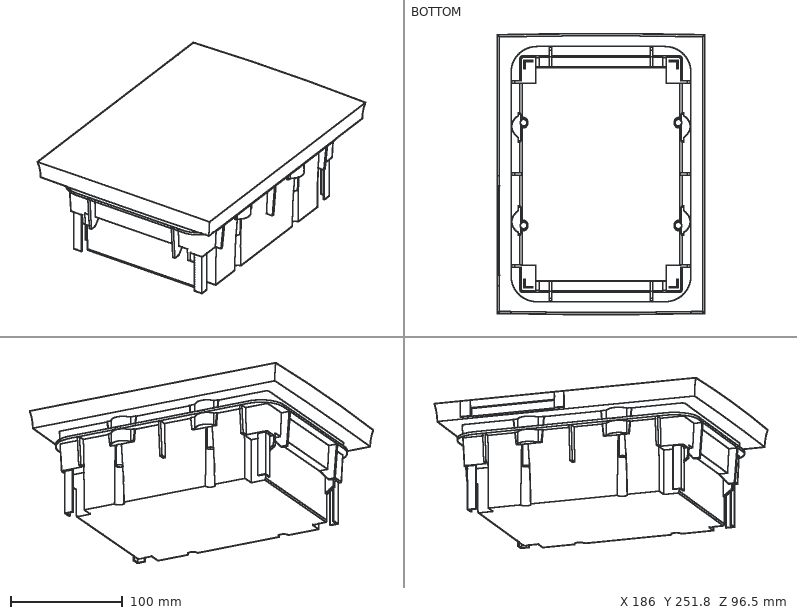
import cadquery as cq
import math

COVER_X = 186.0
COVER_Y = 251.8
COVER_BOTTOM_Z = 79.0
COVER_TOP_Z = 96.5
CROWN = 1.0
END_BOW = 1.0
EDGE_UNDERCUT = 2.0
EDGE_MIDDLE_Z = 87.5
EDGE_MIDDLE_INSET = 1.5

POST_OUTER_Y = (1.3, 100.2)
POST_BOTTOM_Z = 80.8
POST_THICKNESS = 5.0
SLOT_Y = (10.3, 90.6)
SLOT_TOP_Z = 88.6
SLOT_DEPTH = 4.0

BASE_HALF_X = 69.2
BASE_HALF_Y = 102.5
DRAFT = 0.05
CORNER_RADIUS = 1.3
SIDE_PANEL_TOP_Z = 21.5
SIDE_PANEL_HALF_X = BASE_HALF_X + DRAFT * SIDE_PANEL_TOP_Z

NOTCH_TOP_Z = 41.3
NOTCH_X = 58.5
NOTCH_Y = 81.5
LEG_X = (61.0, BASE_HALF_X)
LEG_Y = (94.2, 102.0)
LEG_WALL = 1.3
LEG_BOTTOM_Z = 1.0

END_RECESS_Y = 96.2
END_RECESS_HALF_X = 55.5
END_RECESS_TOP_Z = 44.3
BRACKET_OUTER_Z = 33.0
BRACKET_INNER_Z = 26.7
END_BEVEL_HEIGHT = 1.8
END_BEVEL_DEPTH = 0.8

FLANGE_HALF_X = 80.5
FLANGE_HALF_Y = 114.3
FLANGE_Z = (67.0, 69.2)
FLANGE_RADIUS = 23.2

FIN_THICKNESS = 2.3
FIN_TOP_INSET = 0.8
FIN_BOTTOM_INSET = 3.3
FIN_FOOT_Z = 34.7
END_FIN_X = 45.0
END_FIN_CORNER_Y = 105.0
SIDE_FIN_Y = 82.3

BOSS_FLANK_FOOT = (71.3, 29.7)
BOSS_ARC_START = (76.5, 35.0)
BOSS_ARC_PEAK = (79.8, 41.5)
BOSS_ARC_END = (72.8, 52.5)
BOSS_BOTTOM_Z = 55.6
PAD_BOTTOM_Y = (29.7, 53.6)
PAD_TOP_Y = (27.2, 56.5)
PAD_HALF_X = 74.0
GROOVE_Y = 46.0
GROOVE_TOP_RADIUS = 3.5
GROOVE_BOTTOM_RADIUS = 4.8
SCREW_RADIUS = 3.0
SCREW_BOTTOM_Z = 36.0

SIDES = (-1, 1)


def block(x_range, y_range, z_range):
    """Axis-aligned block between the given limits."""
    size = [end - start for start, end in (x_range, y_range, z_range)]
    corner = (x_range[0], y_range[0], z_range[0])
    return cq.Workplane("XY").box(*size, centered=False).translate(corner)


def mirrored_range(side, inner, outer):
    """Limits from inner to outer, on the chosen side of a centre plane."""
    return tuple(sorted((side * inner, side * outer)))


def edge_curve(profile, top_edge):
    """Draw one cover edge downwards, from its top corner to the bottom face."""
    middle = (top_edge - EDGE_MIDDLE_INSET, EDGE_MIDDLE_Z)
    foot = (top_edge - EDGE_UNDERCUT, COVER_BOTTOM_Z)
    return profile.threePointArc(middle, foot)


def crowned_plate():
    """Cover cross-section across X, extruded past both short edges."""
    half_x = COVER_X / 2
    edge_top_z = COVER_TOP_Z - CROWN
    right_half = cq.Workplane("XZ").moveTo(0, COVER_BOTTOM_Z).lineTo(0, COVER_TOP_Z)
    crown_radius = (half_x**2 + CROWN**2) / (2 * CROWN)
    middle_drop = crown_radius - math.sqrt(crown_radius**2 - (half_x / 2) ** 2)
    right_half = right_half.threePointArc((half_x / 2, COVER_TOP_Z - middle_drop), (half_x, edge_top_z))
    right_half = edge_curve(right_half, half_x).close().extrude(COVER_Y, both=True)
    return right_half.union(right_half.mirror("YZ"))


def bowed_end():
    """+Y half of the cover, its end profile swung around a distant vertical axis."""
    half_x = COVER_X / 2
    half_y = COVER_Y / 2
    bow_radius = (half_x**2 + END_BOW**2) / (2 * END_BOW)
    overlap = 5.0
    spare_angle = 1.0
    swing = 2 * math.degrees(math.asin(half_x / bow_radius)) + spare_angle
    axis_y = half_y - bow_radius
    edge_top_z = COVER_TOP_Z - CROWN
    profile = (
        cq.Workplane("YZ")
        .moveTo(-overlap, COVER_BOTTOM_Z)
        .lineTo(-overlap, COVER_TOP_Z)
        .lineTo(half_y, COVER_TOP_Z)
        .lineTo(half_y, edge_top_z)
    )
    solid = edge_curve(profile, half_y).close().revolve(swing, (axis_y, 0), (axis_y, 1))
    return solid.rotate((0, axis_y, 0), (0, axis_y, 1), -swing / 2)


def make_cover():
    """Crowned plate with bowed ends, two posts and the finger slot."""
    end = bowed_end()
    cover = crowned_plate().intersect(end.union(end.mirror("XZ")))
    face_x = -COVER_X / 2
    edge_top_z = COVER_TOP_Z - CROWN
    for post_outer_y, slot_end_y in zip(POST_OUTER_Y, SLOT_Y):
        post_y = sorted((post_outer_y, slot_end_y))
        post = block((face_x, face_x + POST_THICKNESS), post_y, (POST_BOTTOM_Z, edge_top_z))
        cover = cover.union(post)
    slot = block((face_x, face_x + SLOT_DEPTH), SLOT_Y, (POST_BOTTOM_Z, SLOT_TOP_Z))
    return cover.cut(slot)


def drafted_block(bottom_z, top_z, corner_radius):
    """Length of the drafted block between two heights."""
    lean = bottom_z * DRAFT
    outline = cq.Sketch().rect(2 * (BASE_HALF_X + lean), 2 * (BASE_HALF_Y + lean))
    if corner_radius > 0:
        outline = outline.vertices().fillet(corner_radius)
    return (
        cq.Workplane("XY", origin=(0, 0, bottom_z))
        .placeSketch(outline)
        .extrude(top_z - bottom_z, taper=-math.degrees(math.atan(DRAFT)))
    )


def box_block():
    """Sharp-cornered lower block, rounded upper block and vertical side panels."""
    upper = drafted_block(NOTCH_TOP_Z, COVER_BOTTOM_Z, CORNER_RADIUS)
    lower = drafted_block(0, NOTCH_TOP_Z, 0)
    panels = block(
        (-SIDE_PANEL_HALF_X, SIDE_PANEL_HALF_X), (-NOTCH_Y, NOTCH_Y), (0, SIDE_PANEL_TOP_Z)
    )
    return lower.union(upper).union(panels)


def corner_notch(side_x, side_y):
    """Space cleared around one corner leg."""
    notch = block(
        mirrored_range(side_x, NOTCH_X, FLANGE_HALF_X),
        mirrored_range(side_y, NOTCH_Y, FLANGE_HALF_Y),
        (0, NOTCH_TOP_Z),
    )
    leg_z = (LEG_BOTTOM_Z, NOTCH_TOP_Z)
    leg = block(mirrored_range(side_x, *LEG_X), mirrored_range(side_y, *LEG_Y), leg_z)
    inside_leg = block(
        mirrored_range(side_x, LEG_X[0], LEG_X[1] - LEG_WALL),
        mirrored_range(side_y, LEG_Y[0], LEG_Y[1] - LEG_WALL),
        leg_z,
    )
    return notch.cut(leg.cut(inside_leg))


def end_recess(side_y):
    """Space cleared under one short wall, with a lower ceiling at its two ends."""
    middle = block(
        (-END_RECESS_HALF_X, END_RECESS_HALF_X),
        mirrored_range(side_y, END_RECESS_Y, FLANGE_HALF_Y),
        (0, END_RECESS_TOP_Z),
    )
    under_brackets = (
        cq.Workplane("YZ")
        .moveTo(side_y * (END_RECESS_Y - END_BEVEL_DEPTH), 0)
        .lineTo(side_y * END_RECESS_Y, END_BEVEL_HEIGHT)
        .lineTo(side_y * END_RECESS_Y, BRACKET_INNER_Z)
        .lineTo(side_y * END_FIN_CORNER_Y, BRACKET_OUTER_Z)
        .lineTo(side_y * END_FIN_CORNER_Y, 0)
        .close()
        .extrude(NOTCH_X, both=True)
    )
    return middle.union(under_brackets)


def flange():
    """Round-cornered plate around the box."""
    plate = block((-FLANGE_HALF_X, FLANGE_HALF_X), (-FLANGE_HALF_Y, FLANGE_HALF_Y), FLANGE_Z)
    return plate.edges("|Z").fillet(FLANGE_RADIUS)


def end_fin(x, side_y):
    """Fin on a short wall; its foot turns up to the ceiling of the end recess."""
    outline = [
        (END_RECESS_Y, FLANGE_Z[0]),
        (FLANGE_HALF_Y - FIN_TOP_INSET, FLANGE_Z[0]),
        (FLANGE_HALF_Y - FIN_BOTTOM_INSET, FIN_FOOT_Z),
        (END_FIN_CORNER_Y, FIN_FOOT_Z),
        (END_RECESS_Y, END_RECESS_TOP_Z),
    ]
    points = [(side_y * y, z) for y, z in outline]
    fin = cq.Workplane("YZ").polyline(points).close().extrude(FIN_THICKNESS / 2, both=True)
    return fin.translate((x, 0, 0))


def side_fin(side_x, y, foot_z):
    """Fin on a long wall, ending at foot_z."""
    outline = [
        (BASE_HALF_X, FLANGE_Z[0]),
        (FLANGE_HALF_X - FIN_TOP_INSET, FLANGE_Z[0]),
        (FLANGE_HALF_X - FIN_BOTTOM_INSET, foot_z),
        (BASE_HALF_X, foot_z),
    ]
    points = [(side_x * x, z) for x, z in outline]
    fin = cq.Workplane("XZ").polyline(points).close().extrude(FIN_THICKNESS / 2, both=True)
    return fin.translate((0, y, 0))


def clamp_boss(side_x, side_y):
    """Round boss with one flat flank, on a thin pad that widens upwards."""
    height = COVER_BOTTOM_Z - BOSS_BOTTOM_Z
    boss = (
        cq.Workplane("XY", origin=(0, 0, BOSS_BOTTOM_Z))
        .moveTo(BASE_HALF_X, BOSS_FLANK_FOOT[1])
        .lineTo(*BOSS_FLANK_FOOT)
        .lineTo(*BOSS_ARC_START)
        .threePointArc(BOSS_ARC_PEAK, BOSS_ARC_END)
        .lineTo(BASE_HALF_X, BOSS_ARC_END[1])
        .close()
        .extrude(height)
    )
    if side_x < 0:
        boss = boss.mirror("YZ")
    if side_y < 0:
        boss = boss.mirror("XZ")
    pad_outline = [
        (side_y * PAD_BOTTOM_Y[0], BOSS_BOTTOM_Z),
        (side_y * PAD_BOTTOM_Y[1], BOSS_BOTTOM_Z),
        (side_y * PAD_TOP_Y[1], COVER_BOTTOM_Z),
        (side_y * PAD_TOP_Y[0], COVER_BOTTOM_Z),
    ]
    pad = cq.Workplane("YZ").polyline(pad_outline).close().extrude(side_x * PAD_HALF_X)
    return boss.union(pad)


def screw_groove(side_x, side_y):
    """Round groove that widens towards the bottom of the box."""
    return (
        cq.Workplane("XY", origin=(side_x * SIDE_PANEL_HALF_X, side_y * GROOVE_Y, 0))
        .circle(GROOVE_BOTTOM_RADIUS)
        .workplane(offset=BOSS_BOTTOM_Z)
        .circle(GROOVE_TOP_RADIUS)
        .loft()
    )


def screw_stub(side_x, side_y):
    """Round stub in the upper part of the groove."""
    return (
        cq.Workplane("XY", origin=(side_x * BASE_HALF_X, side_y * GROOVE_Y, SCREW_BOTTOM_Z))
        .circle(SCREW_RADIUS)
        .extrude(BOSS_BOTTOM_Z - SCREW_BOTTOM_Z)
    )


def make_box():
    """Drafted block with its cut-outs, flange, fins, bosses and screw stubs."""
    box = box_block()
    for side_y in SIDES:
        box = box.cut(end_recess(side_y))
        for side_x in SIDES:
            box = box.cut(corner_notch(side_x, side_y))
            box = box.cut(screw_groove(side_x, side_y))
    box = box.union(flange())
    for side_x in SIDES:
        box = box.union(side_fin(side_x, 0, FIN_FOOT_Z))
        for side_y in SIDES:
            box = box.union(side_fin(side_x, side_y * SIDE_FIN_Y, NOTCH_TOP_Z))
            box = box.union(end_fin(side_x * END_FIN_X, side_y))
            box = box.union(clamp_boss(side_x, side_y))
            box = box.union(screw_stub(side_x, side_y))
    return box


cover = make_cover()
box = make_box()
result = cq.Compound.makeCompound([cover.solids().val(), box.solids().val()])